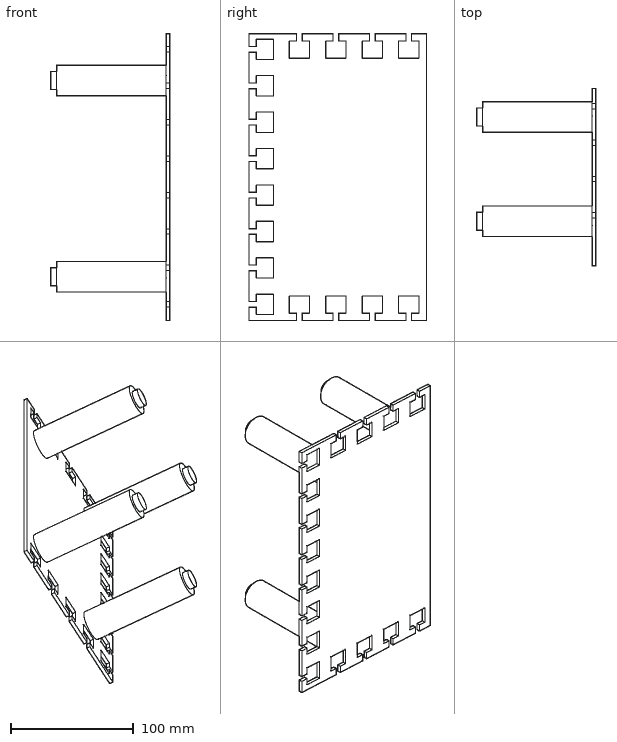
import cadquery as cq

plate_width = 144.5
plate_height = 233.5
plate_thickness = 3.0
total_depth = 97.0

peg_diameter = 25.0
pin_diameter = 15.0
pin_length = 5.0
peg_length = total_depth - plate_thickness - pin_length
peg_spacing_y = 84.8
peg_spacing_z = 159.7
peg_centre_y = 6.5
peg_centre_z = -1.2

notch_pitch = 29.7
window_width = 16.3
window_depth = 13.8
neck_width = 4.5
neck_depth = 6.0
end_notch_count = 4
side_notch_count = 8
first_end_notch_inset = 14.5
side_notch_row_centre_z = 0.2

half_width = plate_width / 2
half_height = plate_height / 2


def plate_cut(y_centre, z_centre, y_size, z_size):
    """Rectangular cutter through the plate thickness."""
    return cq.Workplane("XY").box(plate_thickness, y_size, z_size).translate((0, y_centre, z_centre))


def end_notch(y_centre, side):
    """Notch in the top (side = 1) or bottom (side = -1) edge."""
    neck_z = side * (half_height - neck_depth / 2)
    window_z = side * (half_height - neck_depth - window_depth / 2)
    neck = plate_cut(y_centre, neck_z, neck_width, neck_depth)
    window = plate_cut(y_centre, window_z, window_width, window_depth)
    return neck.union(window)


def side_notch(z_centre):
    """Notch in the -Y edge."""
    neck_y = -half_width + neck_depth / 2
    window_y = -half_width + neck_depth + window_depth / 2
    neck = plate_cut(neck_y, z_centre, neck_depth, neck_width)
    window = plate_cut(window_y, z_centre, window_depth, window_width)
    return neck.union(window)


def notched_plate():
    plate = cq.Workplane("XY").box(plate_thickness, plate_width, plate_height)
    for index in range(end_notch_count):
        y_centre = half_width - first_end_notch_inset - index * notch_pitch
        for side in (1, -1):
            plate = plate.cut(end_notch(y_centre, side))
    for index in range(side_notch_count):
        z_centre = side_notch_row_centre_z + (index - (side_notch_count - 1) / 2) * notch_pitch
        plate = plate.cut(side_notch(z_centre))
    return plate


def pegs():
    """Four pegs at the corners of a rectangle, each ending in a pin."""
    plate_face = cq.Workplane("YZ", origin=(-plate_thickness / 2, peg_centre_y, peg_centre_z))
    layout = plate_face.rarray(peg_spacing_y, peg_spacing_z, 2, 2)
    bodies = layout.circle(peg_diameter / 2).extrude(-peg_length)
    pins = layout.circle(pin_diameter / 2).extrude(-(peg_length + pin_length))
    return bodies.union(pins)


result = notched_plate().union(pegs())